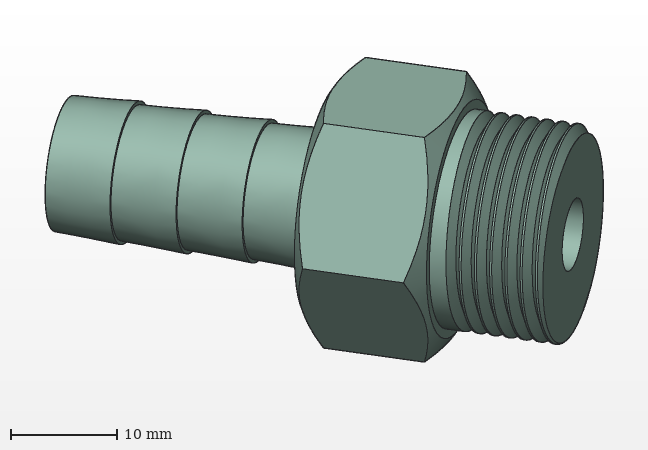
import cadquery as cq
import math

total_length = 50.0
bore_diameter = 7.0

barb_count = 4
barb_length = 6.5
barb_tip_diameter = 13.0
barb_crest_diameter = 13.7
tail_length = barb_count * barb_length

hex_across_flats = 24.0
hex_across_corners = hex_across_flats / math.cos(math.radians(30))
hex_length = 13.0
hex_end = tail_length + hex_length
hex_face_diameter = 0.95 * hex_across_flats
hex_chamfer_angle = 32.0

thread_diameter = 20.95
thread_pitch = 1.5
thread_flank_angle = 30.0
thread_crest_width = 0.2
thread_runout = 1.55
thread_start_angle = -15.0
thread_turns = 7
groove_overlap = 0.05


def barbed_tail():
    """Row of cones, each widening towards the hexagon, as one revolved solid."""
    profile = cq.Workplane("XY").moveTo(0, 0)
    for barb in range(barb_count):
        start = barb * barb_length
        profile = profile.lineTo(start, barb_tip_diameter / 2)
        profile = profile.lineTo(start + barb_length, barb_crest_diameter / 2)
    profile = profile.lineTo(tail_length, 0).close()
    return profile.revolve(360, (0, 0, 0), (1, 0, 0))


def chamfered_hexagon():
    """Hexagon with corners on the Y axis, both ends turned down by a cone."""
    prism = (
        cq.Workplane("YZ", origin=(tail_length, 0, 0))
        .polygon(6, hex_across_corners)
        .extrude(hex_length)
    )
    face_radius = hex_face_diameter / 2
    corner_radius = hex_across_corners / 2
    chamfer_length = (corner_radius - face_radius) * math.tan(math.radians(hex_chamfer_angle))
    turned_blank = (
        cq.Workplane("XY")
        .moveTo(tail_length, 0)
        .lineTo(tail_length, face_radius)
        .lineTo(tail_length + chamfer_length, corner_radius)
        .lineTo(hex_end - chamfer_length, corner_radius)
        .lineTo(hex_end, face_radius)
        .lineTo(hex_end, 0)
        .close()
        .revolve(360, (0, 0, 0), (1, 0, 0))
    )
    return prism.intersect(turned_blank)


def thread_groove():
    """Right-hand helical V groove that starts near the +Y side and runs out at the end face."""
    flank_slope = math.tan(math.radians(thread_flank_angle))
    groove_half_width = (thread_pitch - thread_crest_width) / 2
    crest_radius = thread_diameter / 2
    root_radius = crest_radius - groove_half_width / flank_slope
    outer_radius = crest_radius + groove_overlap
    outer_half_width = groove_half_width + groove_overlap * flank_slope
    start_position = hex_end + thread_runout + thread_pitch * thread_start_angle / 360

    helix = cq.Workplane(cq.Wire.makeHelix(thread_pitch, thread_turns * thread_pitch, root_radius))
    cutter = (
        cq.Workplane("XZ")
        .moveTo(root_radius, 0)
        .lineTo(outer_radius, -outer_half_width)
        .lineTo(outer_radius, outer_half_width)
        .close()
        .sweep(helix, isFrenet=True)
    )
    return (
        cutter.rotate((0, 0, 0), (1, 1, 1), 120)
        .rotate((0, 0, 0), (1, 0, 0), thread_start_angle)
        .translate((start_position, 0, 0))
    )


def threaded_spigot():
    spigot = (
        cq.Workplane("YZ", origin=(hex_end, 0, 0))
        .circle(thread_diameter / 2)
        .extrude(total_length - hex_end)
    )
    return spigot.cut(thread_groove())


bore = cq.Workplane("YZ").circle(bore_diameter / 2).extrude(total_length)

result = barbed_tail().union(chamfered_hexagon()).union(threaded_spigot()).cut(bore)